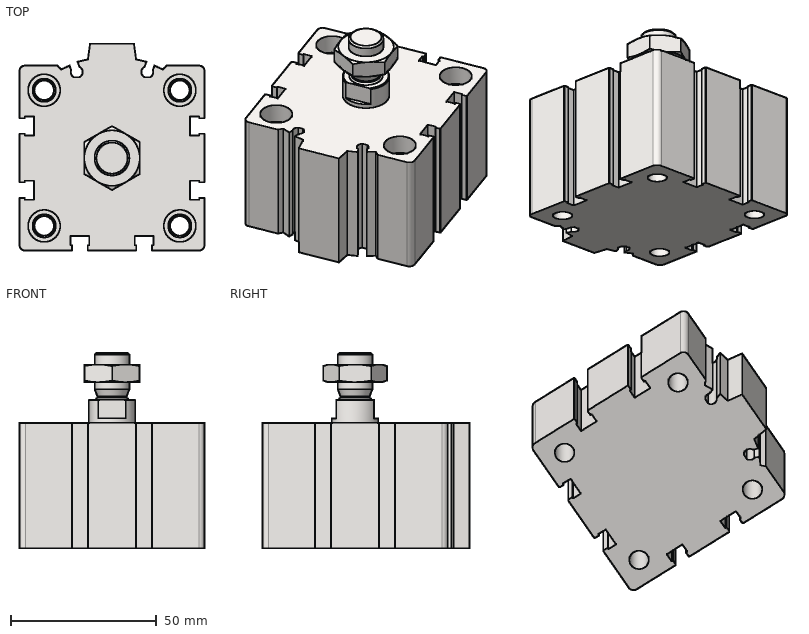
import cadquery as cq
import math

SIDE = 63.5
HALF = SIDE / 2
OVERALL_DEPTH = 71.0
HOUSING_HEIGHT = 43.0
CORNER_RADIUS = 2.0

RIB_TOP_Y = OVERALL_DEPTH - HALF
RIB_TOP_HALF_WIDTH = 7.55
RIB_BASE_HALF_WIDTH = 8.3
RIB_BASE_Y = 33.85
SHOULDER_TIP_X = 11.85
SHOULDER_TIP_Y = 33.05
LIP_TIP_X = 14.55
NOTCH_X = 17.4
NOTCH_DEPTH = 1.35

GROOVE_CENTRE_X = 12.1
GROOVE_CENTRE_Y = 29.5
GROOVE_DIAMETER = 4.0
GROOVE_HEIGHT = 3.55
GROOVE_NECK_LEAN = 20.0
GROOVE_NECK_LENGTH = 2.2

SLOT_OFFSET = 11.0
SLOT_MOUTH_WIDTH = 5.3
SLOT_INNER_WIDTH = 6.4
SLOT_LIP = 1.9
SLOT_DEPTH = 5.0
SLOT_MOUTH_CHAMFER = 0.2

HOLE_PITCH = 46.5
HOLE_DIAMETER = 6.65
COUNTERBORE_DIAMETER = 11.0
COUNTERBORE_DEPTH = 6.8
COUNTERSINK_DIAMETER = 8.0

ROD_TOP = 67.0
SHANK_DIAMETER = 16.0
SHANK_TOP = 51.0
SHANK_CHAMFER = 0.3
FLATS_WIDTH = 13.0
FLATS_BOTTOM = 44.6
THREAD_DIAMETER = 12.0
THREAD_BOTTOM = 54.6
TIP_DIAMETER = 10.65
NECK_DIAMETER = 10.2
NECK_TOP = 52.2
NECK_BOTTOM = 51.65
NECK_FOOT_FLARE = 0.65

NUT_BOTTOM = 57.0
NUT_TOP = 63.0
NUT_ACROSS_FLATS = 19.0
NUT_CHAMFER_ANGLE = 20.0
NUT_SIDES = 6


def housing_outline():
    """Square block with the rib profile on its +Y side, the groove necks not yet cut."""
    right_side = [
        (HALF, -HALF),
        (HALF, HALF),
        (NOTCH_X + NOTCH_DEPTH, HALF),
        (NOTCH_X, HALF - NOTCH_DEPTH),
        (LIP_TIP_X, HALF),
        (SHOULDER_TIP_X, SHOULDER_TIP_Y),
        (RIB_BASE_HALF_WIDTH, RIB_BASE_Y),
        (RIB_TOP_HALF_WIDTH, RIB_TOP_Y),
    ]
    left_side = [(-x, y) for x, y in reversed(right_side)]
    return cq.Workplane("XY").polyline(right_side + left_side).close()


def sensor_groove():
    """Keyhole groove on the +X side of the rib with a neck opening between the two lip tips."""
    bore = (
        cq.Workplane("XY")
        .center(GROOVE_CENTRE_X, GROOVE_CENTRE_Y)
        .circle(GROOVE_DIAMETER / 2)
        .extrude(HOUSING_HEIGHT)
    )
    flats = (
        cq.Workplane("XY")
        .center(GROOVE_CENTRE_X, GROOVE_CENTRE_Y)
        .rect(GROOVE_DIAMETER, GROOVE_HEIGHT)
        .extrude(HOUSING_HEIGHT)
    )
    bore = bore.intersect(flats)
    drop = GROOVE_NECK_LENGTH
    shift = drop * math.tan(math.radians(GROOVE_NECK_LEAN))
    neck = (
        cq.Workplane("XY")
        .polyline([
            (SHOULDER_TIP_X, SHOULDER_TIP_Y),
            (LIP_TIP_X, HALF),
            (LIP_TIP_X - shift, HALF - drop),
            (SHOULDER_TIP_X - shift, SHOULDER_TIP_Y - drop),
        ])
        .close()
        .extrude(HOUSING_HEIGHT)
    )
    return bore.union(neck)


def t_slots():
    """The two T-slots of the -Y side, with bevelled mouth edges."""
    mouth = cq.Workplane("XY").box(
        SLOT_MOUTH_WIDTH, SLOT_DEPTH, HOUSING_HEIGHT, centered=(True, False, False)
    )
    bevel = (
        cq.Workplane("XY")
        .polyline([
            (-SLOT_MOUTH_WIDTH / 2 - SLOT_MOUTH_CHAMFER, 0),
            (SLOT_MOUTH_WIDTH / 2 + SLOT_MOUTH_CHAMFER, 0),
            (SLOT_MOUTH_WIDTH / 2, SLOT_MOUTH_CHAMFER),
            (-SLOT_MOUTH_WIDTH / 2, SLOT_MOUTH_CHAMFER),
        ])
        .close()
        .extrude(HOUSING_HEIGHT)
    )
    inner = cq.Workplane("XY").box(
        SLOT_INNER_WIDTH, SLOT_DEPTH - SLOT_LIP, HOUSING_HEIGHT, centered=(True, False, False)
    )
    slot = mouth.union(bevel).union(inner.translate((0, SLOT_LIP, 0)))
    left_slot = slot.translate((-SLOT_OFFSET, -HALF, 0))
    right_slot = slot.translate((SLOT_OFFSET, -HALF, 0))
    return left_slot.union(right_slot)


def mounting_holes():
    """Through holes, countersunk at the floor of the top counterbore."""
    floor = HOUSING_HEIGHT - COUNTERBORE_DEPTH
    sink_depth = (COUNTERSINK_DIAMETER - HOLE_DIAMETER) / 2
    profile = (
        cq.Workplane("XZ")
        .polyline([
            (0, 0),
            (HOLE_DIAMETER / 2, 0),
            (HOLE_DIAMETER / 2, floor - sink_depth),
            (COUNTERSINK_DIAMETER / 2, floor),
            (COUNTERBORE_DIAMETER / 2, floor),
            (COUNTERBORE_DIAMETER / 2, HOUSING_HEIGHT),
            (0, HOUSING_HEIGHT),
        ])
        .close()
    )
    hole = profile.revolve(360, (0, 0, 0), (0, 1, 0)).val()
    return (
        cq.Workplane("XY")
        .rarray(HOLE_PITCH, HOLE_PITCH, 2, 2)
        .eachpoint(lambda place: hole.moved(place))
    )


def make_housing():
    """Extruded block with rounded corners, keyhole grooves, T-slots and mounting holes."""
    block = housing_outline().extrude(HOUSING_HEIGHT)
    for x in (-HALF, HALF):
        for y in (-HALF, HALF):
            corner = cq.selectors.NearestToPointSelector((x, y, HOUSING_HEIGHT / 2))
            block = block.edges(corner).fillet(CORNER_RADIUS)
    groove = sensor_groove()
    block = block.cut(groove).cut(groove.mirror("YZ"))
    for turn in (-90, 0, 90):
        block = block.cut(t_slots().rotate((0, 0, 0), (0, 0, 1), turn))
    return block.cut(mounting_holes())


def make_rod():
    """Shank with wrench flats, undercut neck and threaded end, standing on the housing."""
    shank_radius = SHANK_DIAMETER / 2
    thread_radius = THREAD_DIAMETER / 2
    neck_radius = NECK_DIAMETER / 2
    tip_radius = TIP_DIAMETER / 2
    rod = (
        cq.Workplane("XZ")
        .moveTo(0, HOUSING_HEIGHT)
        .lineTo(shank_radius, HOUSING_HEIGHT)
        .lineTo(shank_radius, SHANK_TOP - SHANK_CHAMFER)
        .lineTo(shank_radius - SHANK_CHAMFER, SHANK_TOP)
        .lineTo(neck_radius + NECK_FOOT_FLARE, SHANK_TOP)
        .lineTo(neck_radius, NECK_BOTTOM)
        .lineTo(neck_radius, NECK_TOP)
        .lineTo(thread_radius, THREAD_BOTTOM)
        .lineTo(thread_radius, ROD_TOP - (thread_radius - tip_radius))
        .lineTo(tip_radius, ROD_TOP)
        .lineTo(0, ROD_TOP)
        .close()
        .revolve(360, (0, 0, 0), (0, 1, 0))
    )
    flat_cutter = cq.Workplane("XY").box(
        SHANK_DIAMETER, SHANK_DIAMETER, SHANK_TOP - FLATS_BOTTOM, centered=(True, True, False)
    )
    cutter_offset = (FLATS_WIDTH + SHANK_DIAMETER) / 2
    for y in (-cutter_offset, cutter_offset):
        rod = rod.cut(flat_cutter.translate((0, y, FLATS_BOTTOM)))
    return rod


def make_nut():
    """Hexagon nut with chamfered corners, flats facing -X and +X."""
    height = NUT_TOP - NUT_BOTTOM
    flat_radius = NUT_ACROSS_FLATS / 2
    corner_radius = flat_radius / math.cos(math.pi / NUT_SIDES)
    drop = (corner_radius - flat_radius) * math.tan(math.radians(NUT_CHAMFER_ANGLE))
    hexagon = (
        cq.Workplane("XY", origin=(0, 0, NUT_BOTTOM))
        .polygon(NUT_SIDES, 2 * corner_radius)
        .extrude(height)
        .rotate((0, 0, 0), (0, 0, 1), 180 / NUT_SIDES)
    )
    envelope = (
        cq.Workplane("XZ")
        .polyline([
            (THREAD_DIAMETER / 2, NUT_BOTTOM),
            (flat_radius, NUT_BOTTOM),
            (corner_radius, NUT_BOTTOM + drop),
            (corner_radius, NUT_TOP - drop),
            (flat_radius, NUT_TOP),
            (THREAD_DIAMETER / 2, NUT_TOP),
        ])
        .close()
        .revolve(360, (0, 0, 0), (0, 1, 0))
    )
    return hexagon.intersect(envelope)


housing = make_housing()
rod = make_rod()
nut = make_nut()
result = cq.Compound.makeCompound([housing.val(), rod.val(), nut.val()])